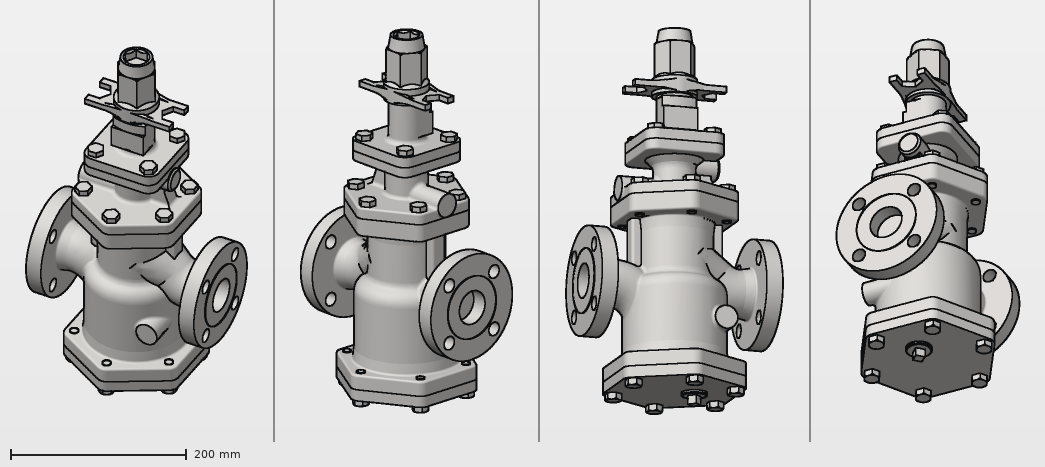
import cadquery as cq
import math


COVER_BOTTOM = -121.0
COVER_JOINT = -107.5
LOWER_FLANGE_TOP = -90.0
UPPER_FLANGE_BOTTOM = 76.0
PILOT_JOINT = 97.5
PILOT_PLATE_TOP = 110.5
SQUARE_BOTTOM = 150.0
HOUSING_JOINT = 162.5
SQUARE_TOP = 175.0
COLLAR_BOTTOM = 225.0
COLLAR_TOP = 244.5
CAP_CONE_BOTTOM = 286.5
CAP_TOP = 301.7
DRAIN_BOTTOM = COVER_BOTTOM - 13.9

LOWER_HEX_FLATS = 147.0
UPPER_HEX_FLATS = 131.3
HEX_CORNER_RADIUS = 12.0
HEX_EDGE_RADIUS = 2.5
SQUARE_SIDE = 94.5
SQUARE_CORNER_RADIUS = 13.5
SQUARE_EDGE_RADIUS = 2.0

BOLT_DIAMETER = 10.0
HEAD_FLATS = 17.0
TOP_HEAD_HEIGHT = 6.5
COVER_HEAD_HEIGHT = 7.8
COVER_HEAD_CHAMFER = 1.2
LOWER_BOLT_RADIUS = 71.0
UPPER_BOLT_RADIUS = 60.5
SQUARE_BOLT_RADIUS = 48.3
LOWER_BOLT_TIP = 1.0
UPPER_BOLT_TIP = 1.5

BODY_RADIUS = 60.0
BODY_FOOT_RADIUS = 61.5
BODY_FOOT_FILLET = 3.0
BODY_TAPER_TOP = -76.0
SHOULDER_BOTTOM = -9.2
SHOULDER_TOP = 16.0
SHOULDER_OUTER_RADIUS = 17.8
NECK_RADIUS = 89.31 / 2
NECK_TAPER_BOTTOM = 62.0
NECK_TOP_RADIUS = 46.0
NECK_TOP_FILLET = 2.0
RIB_REACH = 54.7
RIB_WIDTH = 19.6
INLET_RIB_CORNER_RADIUS = 3.5
OUTLET_RIB_CORNER_RADIUS = 1.0
RIB_BOTTOM = 18.0
TEST_BOSS_DIAMETER = 27.0
TEST_BOSS_X = 43.5
TEST_BOSS_Z = -43.1
TEST_BOSS_END = -56.0
TEST_BOSS_FILLET = 3.5

FACE_TO_FACE = 220.0
RAISED_FACE_HEIGHT = 1.0
RAISED_FACE_DIAMETER = 75.0
PIPE_FLANGE_DIAMETER = 127.0
PIPE_FLANGE_INNER_X = 89.5
PIPE_HOLE_CIRCLE = 98.4
PIPE_HOLE_DIAMETER = 16.0
PORT_DIAMETER = 40.0
PORT_DEPTH = 19.0
NOZZLE_RADIUS = 27.5
NOZZLE_FILLET = 2.5
INLET_ROOT_FILLET = 4.0
NOZZLE_MOUTH_RADIUS = 29.7
NOZZLE_BEND_X = 77.0
NOZZLE_BEND_RADIUS = 45.0
OUTLET_BEND_ANGLE = 42.0
OUTLET_RUN = 38.0
OUTLET_END_HALF_WIDTH = 42.4
OUTLET_END_HALF_HEIGHT = 31.0
OUTLET_END_DROP = 8.0

PILOT_NECK_RADIUS = 24.6
PILOT_ROOT_FILLET = 4.5
FLARE_RADIUS = 33.7
FLARE_START = 142.8
FLARE_BLEND_START = 136.2
FLARE_BLEND_RADIUS = 13.7
INLET_BOSS_DIAMETER = 28.0
INLET_BOSS_Z = 112.4
INLET_BOSS_END = -68.0
SIDE_BOSS_DIAMETER = 28.0
SIDE_BOSS_Z = 143.3
SIDE_BOSS_END = 50.7
SIDE_BOSS_CHAMFER = 2.5
WEB_WIDTH = 19.0
WEB_TOP_REACH = 41.0
WEB_FOOT_REACH = 48.0

STEM_RADIUS = 20.7
STEM_FILLET = 6.0
BLOCK_FRONT_Y = -21.9
BLOCK_BOTTOM = 182.4
BLOCK_STEP = 208.5
BLOCK_TOP = 221.0
BLOCK_CURVE_RADIUS = 52.0
COLLAR_RADIUS = 26.0
CAP_HEX_FLATS = 42.0
CAP_SKIRT_RISE = 4.5
CAP_CONE_BASE_RADIUS = 21.0
CAP_CONE_TOP_RADIUS = 18.4
SOCKET_FLATS = 25.0
SOCKET_DEPTH = 12.0
SOCKET_MOUTH_DIAMETER = 30.0
CAP_HEX_CHAMFER = 1.5
WRENCH_REACH = 55.0
WRENCH_HALF_WIDTH = 22.3
WRENCH_BOTTOM = 229.5
WRENCH_TOP = 236.5
WRENCH_HUB_HALF_WIDTH = 25.2
WRENCH_HUB_X = 7.1
WRENCH_FLARE_X = 28.0
JAW_FLATS = 26.0
JAW_TIP_X = 33.3
RIDGE_INNER_Y = 17.7
RIDGE_REACH = 31.0
RIDGE_HUB_TOP = 240.3
RIDGE_UNDER_REACH = 21.0
RIDGE_HUB_BOTTOM = 227.0

DRAIN_X = 23.8
DRAIN_BOSS_DIAMETER = 30.0
DRAIN_BOSS_HEIGHT = 3.7
DRAIN_BOSS_CHAMFER = 1.2
DRAIN_SQUARE_DIAGONAL = 15.5

CORNERS_TOWARD_X = 30
SELECT_MARGIN = 1.0
CORNER_PER_FLAT = 2 / math.sqrt(3)
PORT_SIDES = (-1, 1)


def hexagon(flats, bottom, top, turn=0):
    """Hexagonal prism on the Z axis with corners toward +Y and -Y, turned by `turn` degrees."""
    prism = cq.Workplane("XY").polygon(6, flats * CORNER_PER_FLAT).extrude(top - bottom)
    return prism.rotate((0, 0, 0), (0, 0, 1), 90 + turn).translate((0, 0, bottom))


def chamfered_hexagon(flats, bottom, top, end, chamfer, turn=0):
    """Hexagonal prism whose corners are turned off conically at the end picked by selector `end`."""
    turned = cylinder(flats * CORNER_PER_FLAT / 2, bottom, top).faces(end).chamfer(chamfer)
    return hexagon(flats, bottom, top, turn).intersect(turned)


def hex_plate(flats, bottom, top):
    return hexagon(flats, bottom, top).edges("|Z").fillet(HEX_CORNER_RADIUS)


def square_plate(bottom, top):
    plate = cq.Workplane("XY").workplane(offset=bottom).rect(SQUARE_SIDE, SQUARE_SIDE).extrude(top - bottom)
    return plate.edges("|Z").fillet(SQUARE_CORNER_RADIUS)


def cylinder(radius, bottom, top):
    return cq.Workplane("XY").workplane(offset=bottom).circle(radius).extrude(top - bottom)


def cylinder_along_x(radius, start, end, z=0):
    return cq.Workplane("YZ").workplane(offset=start).center(0, z).circle(radius).extrude(end - start)


def bolt_points(radius, count, start_angle):
    angles = [math.radians(start_angle + i * 360 / count) for i in range(count)]
    return [(radius * math.cos(a), radius * math.sin(a)) for a in angles]


LOWER_BOLTS = bolt_points(LOWER_BOLT_RADIUS, 6, 90)
UPPER_BOLTS = bolt_points(UPPER_BOLT_RADIUS, 6, 90)
SQUARE_BOLTS = bolt_points(SQUARE_BOLT_RADIUS, 4, 45)


def shanks(points, bottom, top):
    plane = cq.Workplane("XY").workplane(offset=bottom)
    return plane.pushPoints(points).circle(BOLT_DIAMETER / 2).extrude(top - bottom)


def lower_shanks():
    return shanks(LOWER_BOLTS, COVER_JOINT, LOWER_FLANGE_TOP + LOWER_BOLT_TIP)


def upper_shanks():
    return shanks(UPPER_BOLTS, UPPER_FLANGE_BOTTOM - UPPER_BOLT_TIP, PILOT_JOINT)


def make_bottom_cover():
    cover = hex_plate(LOWER_HEX_FLATS, COVER_BOTTOM, COVER_JOINT)
    head_bottom = COVER_BOTTOM - COVER_HEAD_HEIGHT
    head = chamfered_hexagon(HEAD_FLATS, head_bottom, COVER_BOTTOM, "<Z", COVER_HEAD_CHAMFER)
    for x, y in LOWER_BOLTS:
        cover = cover.union(head.translate((x, y, 0)))
    boss_bottom = COVER_BOTTOM - DRAIN_BOSS_HEIGHT
    boss = cylinder(DRAIN_BOSS_DIAMETER / 2, boss_bottom, COVER_BOTTOM)
    boss = boss.faces("<Z").chamfer(DRAIN_BOSS_CHAMFER)
    plug = cq.Workplane("XY").workplane(offset=DRAIN_BOTTOM).polygon(4, DRAIN_SQUARE_DIAGONAL)
    plug = plug.extrude(boss_bottom - DRAIN_BOTTOM)
    cover = cover.union(boss.union(plug).translate((DRAIN_X, 0, 0)))
    return cover.union(lower_shanks())


def body_barrel():
    """Turned barrel: flared foot, cylinder, S-shaped shoulder and upper neck."""
    rise = SHOULDER_TOP - SHOULDER_BOTTOM
    step = BODY_RADIUS - NECK_RADIUS
    turn = 2 * math.atan2(step, rise)
    inner_radius = rise / math.sin(turn) - SHOULDER_OUTER_RADIUS

    def outer_arc(angle):
        return (
            BODY_RADIUS - SHOULDER_OUTER_RADIUS * (1 - math.cos(angle)),
            SHOULDER_BOTTOM + SHOULDER_OUTER_RADIUS * math.sin(angle),
        )

    def inner_arc(angle):
        return (
            NECK_RADIUS + inner_radius * (1 - math.cos(angle)),
            SHOULDER_TOP - inner_radius * math.sin(angle),
        )

    foot_end = (BODY_FOOT_RADIUS + BODY_FOOT_FILLET, LOWER_FLANGE_TOP)
    profile = (
        cq.Workplane("XZ")
        .moveTo(0, LOWER_FLANGE_TOP)
        .lineTo(*foot_end)
        .radiusArc((BODY_FOOT_RADIUS, LOWER_FLANGE_TOP + BODY_FOOT_FILLET), BODY_FOOT_FILLET)
        .lineTo(BODY_RADIUS, BODY_TAPER_TOP)
        .lineTo(BODY_RADIUS, SHOULDER_BOTTOM)
        .threePointArc(outer_arc(turn / 2), outer_arc(turn))
        .threePointArc(inner_arc(turn / 2), (NECK_RADIUS, SHOULDER_TOP))
        .lineTo(NECK_RADIUS, NECK_TAPER_BOTTOM)
        .lineTo(NECK_TOP_RADIUS, UPPER_FLANGE_BOTTOM - NECK_TOP_FILLET)
        .radiusArc((NECK_TOP_RADIUS + NECK_TOP_FILLET, UPPER_FLANGE_BOTTOM), NECK_TOP_FILLET)
        .lineTo(0, UPPER_FLANGE_BOTTOM)
        .close()
    )
    return profile.revolve(360, (0, 0, 0), (0, 1, 0))


def neck_rib(side, corner_radius):
    height = UPPER_FLANGE_BOTTOM - RIB_BOTTOM
    rib = cq.Workplane("XY").box(RIB_REACH, RIB_WIDTH, height, centered=(True, True, False))
    return rib.edges("|Z").fillet(corner_radius).translate((side * RIB_REACH / 2, 0, RIB_BOTTOM))


def test_boss():
    plane = cq.Workplane("XZ").center(TEST_BOSS_X, TEST_BOSS_Z)
    return plane.circle(TEST_BOSS_DIAMETER / 2).extrude(-TEST_BOSS_END)


def pipe_flange(side):
    outer = side * (FACE_TO_FACE / 2 - RAISED_FACE_HEIGHT)
    flange = cylinder_along_x(PIPE_FLANGE_DIAMETER / 2, side * PIPE_FLANGE_INNER_X, outer)
    raised = cylinder_along_x(RAISED_FACE_DIAMETER / 2, outer, side * FACE_TO_FACE / 2)
    holes = (
        cq.Workplane("YZ")
        .pushPoints(bolt_points(PIPE_HOLE_CIRCLE / 2, 4, 45))
        .circle(PIPE_HOLE_DIAMETER / 2)
        .extrude(outer)
    )
    return flange.cut(holes).union(raised)


def nozzle_root(side):
    """Tapered collar that blends a nozzle into the back of its flange."""
    back = PIPE_FLANGE_INNER_X
    profile = (
        cq.Workplane("XZ")
        .moveTo(side * back, 0)
        .lineTo(side * back, NOZZLE_MOUTH_RADIUS + NOZZLE_FILLET)
        .radiusArc((side * (back - NOZZLE_FILLET), NOZZLE_MOUTH_RADIUS), side * NOZZLE_FILLET)
        .lineTo(side * NOZZLE_BEND_X, NOZZLE_RADIUS)
        .lineTo(side * NOZZLE_BEND_X, 0)
        .close()
    )
    return profile.revolve(360, (0, 0, 0), (1, 0, 0))


def inlet_nozzle():
    """Pipe from the -X flange that bends down into the barrel."""
    start = -PIPE_FLANGE_INNER_X
    pipe = cylinder_along_x(NOZZLE_RADIUS, start, -NOZZLE_BEND_X)
    bend = (
        cq.Workplane("YZ", origin=(-NOZZLE_BEND_X, 0, 0))
        .circle(NOZZLE_RADIUS)
        .revolve(90, (-1, -NOZZLE_BEND_RADIUS, 0), (1, -NOZZLE_BEND_RADIUS, 0))
    )
    return pipe.union(bend)


def outlet_nozzle():
    """Pipe from the +X flange that bends up and widens into the neck."""
    pipe = cylinder_along_x(NOZZLE_RADIUS, PIPE_FLANGE_INNER_X, NOZZLE_BEND_X)
    bend = (
        cq.Workplane("YZ", origin=(NOZZLE_BEND_X, 0, 0))
        .circle(NOZZLE_RADIUS)
        .revolve(OUTLET_BEND_ANGLE, (-1, NOZZLE_BEND_RADIUS, 0), (1, NOZZLE_BEND_RADIUS, 0))
    )
    angle = math.radians(OUTLET_BEND_ANGLE)
    bend_end = (
        NOZZLE_BEND_X - NOZZLE_BEND_RADIUS * math.sin(angle),
        0,
        NOZZLE_BEND_RADIUS * (1 - math.cos(angle)),
    )
    across_bend = cq.Plane(origin=bend_end, xDir=(0, 1, 0), normal=(-math.cos(angle), 0, math.sin(angle)))
    run = (
        cq.Workplane(across_bend)
        .circle(NOZZLE_RADIUS)
        .workplane(offset=OUTLET_RUN)
        .center(0, OUTLET_END_DROP)
        .ellipse(OUTLET_END_HALF_WIDTH, OUTLET_END_HALF_HEIGHT)
        .loft()
    )
    return pipe.union(bend).union(run)


INLET_ROOT = cq.selectors.BoxSelector(
    (-BODY_RADIUS - SELECT_MARGIN, -NOZZLE_RADIUS - SELECT_MARGIN, -NOZZLE_BEND_RADIUS),
    (-NOZZLE_RADIUS, NOZZLE_RADIUS + SELECT_MARGIN, NOZZLE_RADIUS),
)
TEST_BOSS_ROOT = cq.selectors.BoxSelector(
    (TEST_BOSS_X - TEST_BOSS_DIAMETER, TEST_BOSS_END + SELECT_MARGIN, TEST_BOSS_Z - TEST_BOSS_DIAMETER),
    (TEST_BOSS_X + TEST_BOSS_DIAMETER, 0, TEST_BOSS_Z + TEST_BOSS_DIAMETER),
)


def make_main_body():
    body = body_barrel().union(inlet_nozzle())
    body = body.edges(INLET_ROOT).fillet(INLET_ROOT_FILLET)
    body = body.union(test_boss())
    body = body.edges(TEST_BOSS_ROOT).fillet(TEST_BOSS_FILLET)
    body = body.union(neck_rib(-1, INLET_RIB_CORNER_RADIUS)).union(neck_rib(1, OUTLET_RIB_CORNER_RADIUS))
    lower = hex_plate(LOWER_HEX_FLATS, COVER_JOINT, LOWER_FLANGE_TOP)
    lower = lower.faces(">Z").edges().fillet(HEX_EDGE_RADIUS)
    upper = hex_plate(UPPER_HEX_FLATS, UPPER_FLANGE_BOTTOM, PILOT_JOINT)
    upper = upper.faces("<Z").edges().fillet(HEX_EDGE_RADIUS)
    body = body.union(lower).union(upper).union(outlet_nozzle())
    for side in PORT_SIDES:
        body = body.union(pipe_flange(side)).union(nozzle_root(side))
        face = side * FACE_TO_FACE / 2
        body = body.cut(cylinder_along_x(PORT_DIAMETER / 2, face, face - side * PORT_DEPTH))
    return body.cut(lower_shanks()).cut(upper_shanks())


def pilot_flare():
    """Turned 45-degree flare under the square plate, blended into the neck."""
    flare_start_radius = FLARE_RADIUS - (SQUARE_BOTTOM - FLARE_START)
    profile = (
        cq.Workplane("XZ")
        .moveTo(0, FLARE_BLEND_START)
        .lineTo(PILOT_NECK_RADIUS, FLARE_BLEND_START)
        .radiusArc((flare_start_radius, FLARE_START), FLARE_BLEND_RADIUS)
        .lineTo(FLARE_RADIUS, SQUARE_BOTTOM)
        .lineTo(0, SQUARE_BOTTOM)
        .close()
    )
    return profile.revolve(360, (0, 0, 0), (0, 1, 0))


def side_boss_web():
    web = (
        cq.Workplane("XZ")
        .moveTo(0, PILOT_PLATE_TOP)
        .lineTo(WEB_FOOT_REACH, PILOT_PLATE_TOP)
        .lineTo(WEB_TOP_REACH, SIDE_BOSS_Z - SIDE_BOSS_DIAMETER / 2)
        .lineTo(WEB_TOP_REACH, SIDE_BOSS_Z)
        .lineTo(0, SIDE_BOSS_Z)
        .close()
    )
    return web.extrude(WEB_WIDTH / 2, both=True)


def make_pilot_body():
    plate = hex_plate(UPPER_HEX_FLATS, PILOT_JOINT, PILOT_PLATE_TOP)
    plate = plate.faces(">Z").edges().fillet(HEX_EDGE_RADIUS)
    inlet_boss = cylinder_along_x(INLET_BOSS_DIAMETER / 2, 0, INLET_BOSS_END, INLET_BOSS_Z)
    neck = cylinder(PILOT_NECK_RADIUS, PILOT_PLATE_TOP, SQUARE_BOTTOM)
    pilot = plate.union(neck).union(inlet_boss).union(side_boss_web())
    reach = PILOT_NECK_RADIUS + SELECT_MARGIN
    plate_roots = cq.selectors.BoxSelector(
        (INLET_BOSS_END, -reach, PILOT_PLATE_TOP - SELECT_MARGIN),
        (WEB_FOOT_REACH + SELECT_MARGIN, reach, PILOT_PLATE_TOP + SELECT_MARGIN),
    )
    neck_roots = cq.selectors.BoxSelector(
        (-reach, -reach, PILOT_PLATE_TOP),
        (reach, reach, FLARE_BLEND_START),
    )
    pilot = pilot.edges(plate_roots + neck_roots).fillet(PILOT_ROOT_FILLET)
    square = square_plate(SQUARE_BOTTOM, HOUSING_JOINT).faces("<Z").edges().fillet(SQUARE_EDGE_RADIUS)
    side_boss = cylinder_along_x(SIDE_BOSS_DIAMETER / 2, 0, SIDE_BOSS_END, SIDE_BOSS_Z)
    side_boss = side_boss.faces(">X").chamfer(SIDE_BOSS_CHAMFER)
    pilot = pilot.union(pilot_flare()).union(square).union(side_boss)
    for x, y in UPPER_BOLTS:
        head = hexagon(HEAD_FLATS, PILOT_PLATE_TOP, PILOT_PLATE_TOP + TOP_HEAD_HEIGHT)
        pilot = pilot.union(head.translate((x, y, 0)))
    return pilot.union(upper_shanks())


def stem_and_cap():
    """Turned stem, collar and cap, with the cap's hexagon added between them."""
    stem = (
        cq.Workplane("XZ")
        .moveTo(0, SQUARE_TOP)
        .lineTo(STEM_RADIUS + STEM_FILLET, SQUARE_TOP)
        .radiusArc((STEM_RADIUS, SQUARE_TOP + STEM_FILLET), STEM_FILLET)
        .lineTo(STEM_RADIUS, COLLAR_BOTTOM)
        .lineTo(COLLAR_RADIUS, COLLAR_BOTTOM)
        .lineTo(COLLAR_RADIUS, COLLAR_TOP)
        .lineTo(CAP_HEX_FLATS / 2, COLLAR_TOP + CAP_SKIRT_RISE)
        .lineTo(0, COLLAR_TOP + CAP_SKIRT_RISE)
        .close()
        .revolve(360, (0, 0, 0), (0, 1, 0))
    )
    cone = (
        cq.Workplane("XZ")
        .moveTo(0, CAP_CONE_BOTTOM)
        .lineTo(CAP_CONE_BASE_RADIUS, CAP_CONE_BOTTOM)
        .lineTo(CAP_CONE_TOP_RADIUS, CAP_TOP)
        .lineTo(0, CAP_TOP)
        .close()
        .revolve(360, (0, 0, 0), (0, 1, 0))
    )
    hexagon_part = chamfered_hexagon(
        CAP_HEX_FLATS, COLLAR_TOP, CAP_CONE_BOTTOM, ">Z", CAP_HEX_CHAMFER, CORNERS_TOWARD_X
    )
    socket = hexagon(SOCKET_FLATS, CAP_TOP - SOCKET_DEPTH, CAP_TOP, CORNERS_TOWARD_X)
    mouth_radius = SOCKET_MOUTH_DIAMETER / 2
    mouth = cq.Workplane("XY").workplane(offset=CAP_TOP).circle(mouth_radius)
    mouth = mouth.extrude(SOCKET_FLATS / 2 - mouth_radius, taper=45)
    return stem.union(hexagon_part).union(cone).cut(socket).cut(mouth)


def name_block():
    """Block on the -Y side of the stem: flat below, bowed above the step."""

    def block(top):
        height = top - BLOCK_BOTTOM
        box = cq.Workplane("XY").box(2 * STEM_RADIUS, -BLOCK_FRONT_Y, height, centered=(True, False, False))
        return box.translate((0, BLOCK_FRONT_Y, BLOCK_BOTTOM))

    bow = cylinder(BLOCK_CURVE_RADIUS, BLOCK_BOTTOM, BLOCK_TOP)
    bow = bow.translate((0, BLOCK_FRONT_Y + BLOCK_CURVE_RADIUS, 0))
    return block(BLOCK_TOP).intersect(bow).union(block(BLOCK_STEP))


def wrench():
    """Double open-ended wrench round the collar, with a tapering ridge along each side."""
    quarter = [
        (WRENCH_REACH, WRENCH_HALF_WIDTH),
        (WRENCH_FLARE_X, WRENCH_HALF_WIDTH),
        (WRENCH_HUB_X, WRENCH_HUB_HALF_WIDTH),
    ]
    half = quarter + [(-x, y) for x, y in reversed(quarter)]
    outline = half + [(x, -y) for x, y in reversed(half)]

    def plan(bottom, top):
        return cq.Workplane("XY").workplane(offset=bottom).polyline(outline).close().extrude(top - bottom)

    plate = plan(WRENCH_BOTTOM, WRENCH_TOP)
    ridge = (
        cq.Workplane("XZ")
        .polyline([
            (-RIDGE_REACH, WRENCH_TOP),
            (-WRENCH_HUB_X, RIDGE_HUB_TOP),
            (WRENCH_HUB_X, RIDGE_HUB_TOP),
            (RIDGE_REACH, WRENCH_TOP),
            (RIDGE_UNDER_REACH, WRENCH_BOTTOM),
            (WRENCH_HUB_X, RIDGE_HUB_BOTTOM),
            (-WRENCH_HUB_X, RIDGE_HUB_BOTTOM),
            (-RIDGE_UNDER_REACH, WRENCH_BOTTOM),
        ])
        .close()
        .extrude(WRENCH_HUB_HALF_WIDTH, both=True)
    )
    between_ridges = cq.Workplane("XY").box(2 * WRENCH_REACH, 2 * RIDGE_INNER_Y, 2 * CAP_TOP)
    ridges = ridge.intersect(plan(RIDGE_HUB_BOTTOM, RIDGE_HUB_TOP)).cut(between_ridges)
    jaw_corner = JAW_FLATS * CORNER_PER_FLAT / 2
    for side in PORT_SIDES:
        centre_x = side * (JAW_TIP_X + jaw_corner)
        jaw = hexagon(JAW_FLATS, WRENCH_BOTTOM, WRENCH_TOP, CORNERS_TOWARD_X).translate((centre_x, 0, 0))
        mouth = (
            cq.Workplane("XY")
            .workplane(offset=WRENCH_BOTTOM)
            .center(centre_x + side * jaw_corner, 0)
            .rect(2 * jaw_corner, JAW_FLATS)
            .extrude(WRENCH_TOP - WRENCH_BOTTOM)
        )
        plate = plate.cut(jaw).cut(mouth)
    return plate.union(ridges)


def make_spring_housing():
    housing = square_plate(HOUSING_JOINT, SQUARE_TOP).union(stem_and_cap())
    housing = housing.union(name_block()).union(wrench())
    for i, (x, y) in enumerate(SQUARE_BOLTS):
        head = hexagon(HEAD_FLATS, SQUARE_TOP, SQUARE_TOP + TOP_HEAD_HEIGHT, 90 * (i + 1))
        housing = housing.union(head.translate((x, y, 0)))
    return housing


bottom_cover = make_bottom_cover()
main_body = make_main_body()
pilot_body = make_pilot_body()
spring_housing = make_spring_housing()

result = cq.Compound.makeCompound([
    bottom_cover.val(),
    main_body.val(),
    pilot_body.val(),
    spring_housing.val(),
])